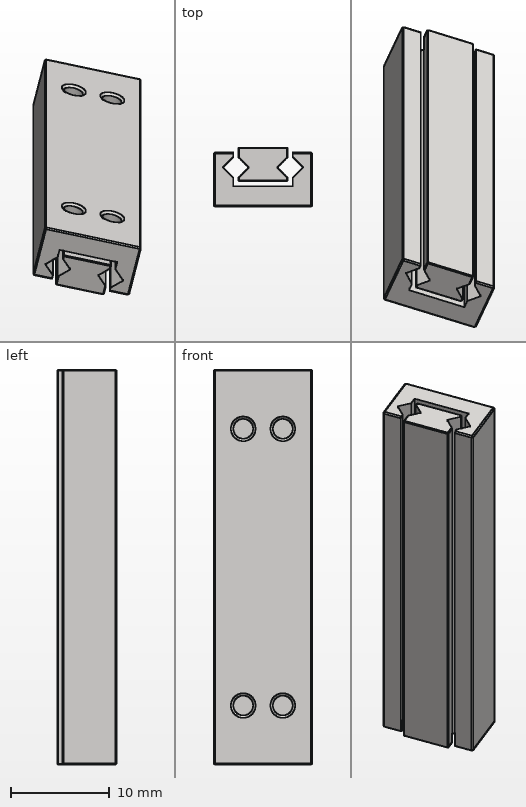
import cadquery as cq

length = 40.0
housing_width = 10.0
housing_height = 5.5
overall_height = 6.0
housing_edge_chamfer = 0.15
rail_edge_chamfer = 0.1

groove_center_y = 3.98
housing_groove_tip_x = 4.05
rail_groove_tip_x = 1.45

channel_half_width = 3.0
channel_floor_y = 2.1
rail_half_width = 2.5
rail_bottom_y = 2.6

hole_diameter = 2.0
hole_mouth_diameter = 2.5
countersink_angle = 90.0
hole_depth = 1.5
hole_spacing_x = 4.0
hole_spacing_z = 28.0


def block(width, bottom_y, top_y):
    """Full-length block centred on X and Z, between two Y levels."""
    height = top_y - bottom_y
    return cq.Workplane("XY").box(width, height, length).translate((0, bottom_y + height / 2, 0))


def groove_cutter(side, tip_x, mouth_x):
    """90-degree V prism, from its tip to its mouth plane."""
    half_opening = abs(mouth_x - tip_x)
    return (
        cq.Workplane("XY", origin=(0, 0, -length / 2))
        .moveTo(side * tip_x, groove_center_y)
        .lineTo(side * mouth_x, groove_center_y + half_opening)
        .lineTo(side * mouth_x, groove_center_y - half_opening)
        .close()
        .extrude(length)
    )


def make_housing():
    body = block(housing_width, 0, housing_height).edges().chamfer(housing_edge_chamfer)
    body = body.cut(block(2 * channel_half_width, channel_floor_y, overall_height))
    for side in (-1, 1):
        body = body.cut(groove_cutter(side, housing_groove_tip_x, channel_half_width))
    return (
        body.copyWorkplane(cq.Workplane("XZ"))
        .rarray(hole_spacing_x, hole_spacing_z, 2, 2)
        .cskHole(hole_diameter, hole_mouth_diameter, countersink_angle, depth=hole_depth)
    )


def make_rail():
    body = block(2 * rail_half_width, rail_bottom_y, overall_height).edges().chamfer(rail_edge_chamfer)
    for side in (-1, 1):
        body = body.cut(groove_cutter(side, rail_groove_tip_x, rail_half_width))
    return body


housing = make_housing()
rail = make_rail()

result = cq.Compound.makeCompound([housing.val(), rail.val()])